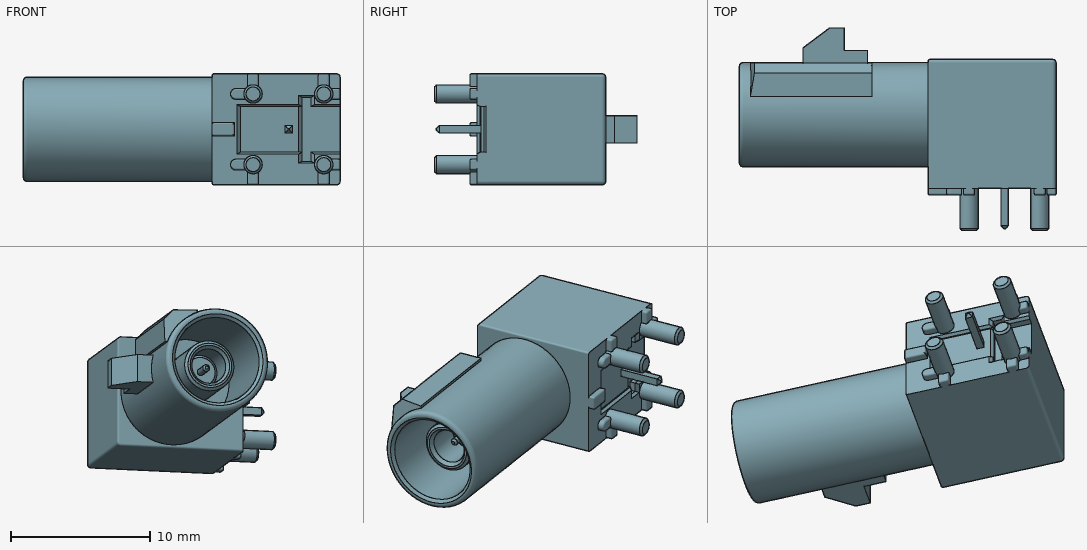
import cadquery as cq
import math


length = 22.8
block_start = 13.6
block_back = 4.0
board_face = -5.3
block_height = 8.0
front_edge_round = 0.14
outer_edge_round = 0.27

barrel_radius = 3.76
barrel_lip_round = 0.3
mouth_radius = 3.35
bore_radius = 3.12
mouth_chamfer_depth = 0.2
bore_depth = 9.12

boss_radius = 1.82
boss_front = 2.3
boss_outer_chamfer = 0.2
socket_radius = 1.25
socket_mouth_radius = 1.45
socket_mouth_depth = 0.32
socket_depth = 2.74
insulator_chamfer = 0.18
contact_radius = 0.25
contact_tip_radius = 0.11
contact_tip_length = 0.18
contact_length = 1.82

key_start = 0.8
key_end = 9.53
key_reach = 3.72
key_inner = 1.3
key_corner = 3.0
key_lead_in = 0.3

latch_width = 1.98
latch_root = 3.2
latch_start = 4.58
latch_top_start = 6.5
latch_top_end = 7.57
latch_end = 9.23
latch_top = 6.25
latch_ramp_foot = 4.8
latch_step = 4.63

overall_width = 14.6
post_end = latch_top - overall_width
post_radius = 0.65
post_chamfer = 0.15
post_pitch = 5.08
first_post_x = 16.53
post_columns = (first_post_x, first_post_x + post_pitch)
post_rows = (-post_pitch / 2, post_pitch / 2)

pad_height = 0.5
pad_width = 0.8
pad_round = 0.14
slot_pad_start = 14.9
front_pad_length = 1.62
front_pad_width = 0.98

pin_x = 19.08
pin_width = 0.55
pin_tip_width = 0.11
pin_shoulder = -7.98
pin_tip_length = 0.23

rim_x = 0.23
rim_z = 0.14
rim_depth = 0.23
shallow_depth = 0.3
deep_depth = 0.65
shallow_start = 15.4
channel_half_width = 1.78
cross_start = 19.81
cross_end = 20.93
cross_half_width = 2.45


def board_plane(x=0.0, z=0.0, y=board_face):
    """Sketch plane parallel to the board face; its normal points to -Y."""
    return cq.Workplane("XZ", origin=(x, y, z))


def make_block():
    block = cq.Workplane("XY").box(
        length - block_start, block_back - board_face, block_height, centered=(False, False, True)
    ).translate((block_start, board_face, 0))
    block = block.edges("(>X and (>Y or >Z or <Z)) or (>Y and (>Z or <Z))").fillet(outer_edge_round)
    return block.faces("<X").edges("not <Y").fillet(front_edge_round)


def make_barrel():
    return (
        cq.Workplane("YZ")
        .circle(barrel_radius)
        .extrude(block_start)
        .faces("<X")
        .edges()
        .fillet(barrel_lip_round)
    )


def make_bore():
    """Bore with a flared mouth, leaving the boss, insulator and contact standing in it."""
    socket_floor = boss_front + socket_depth
    contact_front = socket_floor - contact_length
    profile = [
        (0, 0),
        (0, mouth_radius),
        (mouth_chamfer_depth, bore_radius),
        (bore_depth, bore_radius),
        (bore_depth, boss_radius),
        (boss_front + boss_outer_chamfer, boss_radius),
        (boss_front, boss_radius - boss_outer_chamfer),
        (boss_front, socket_mouth_radius),
        (boss_front + socket_mouth_depth, socket_radius),
        (socket_floor + insulator_chamfer, socket_radius),
        (socket_floor, socket_radius - insulator_chamfer),
        (socket_floor, contact_radius),
        (contact_front + contact_tip_length, contact_radius),
        (contact_front, contact_tip_radius),
        (contact_front, 0),
    ]
    return cq.Workplane("XY").polyline(profile).close().revolve(360, (0, 0, 0), (1, 0, 0))


def make_key():
    section = [
        (0, key_inner),
        (0, 0),
        (key_inner, 0),
        (key_inner, key_reach),
        (key_corner, key_reach),
        (key_reach, key_corner),
        (key_reach, key_inner),
    ]
    key = (
        cq.Workplane("YZ", origin=(key_start, 0, 0))
        .polyline(section)
        .close()
        .extrude(key_end - key_start)
    )
    base_distance = (key_inner + key_reach) / math.sqrt(2)
    corner_distance = (key_corner + key_reach) / math.sqrt(2)
    lead_in = (
        cq.Workplane("XY")
        .moveTo(key_start, base_distance)
        .lineTo(key_start, corner_distance)
        .lineTo(key_start + key_lead_in, corner_distance)
        .close()
        .extrude(key_reach, both=True)
        .rotate((0, 0, 0), (1, 0, 0), 45)
    )
    return key.cut(lead_in)


def make_latch():
    profile = [
        (latch_start, latch_root),
        (latch_start, latch_ramp_foot),
        (latch_top_start, latch_top),
        (latch_top_end, latch_top),
        (latch_top_end, latch_step),
        (latch_end, latch_step),
        (latch_end, latch_root),
    ]
    return cq.Workplane("XY").polyline(profile).close().extrude(latch_width / 2, both=True)


def cross_outline(inset_x, inset_z):
    """T-shaped outline, open past the +X end of the block, shrunk by the given insets."""
    start = cross_start + inset_x
    end = cross_end - inset_x
    wide = cross_half_width - inset_z
    narrow = channel_half_width - inset_z
    open_end = length + rim_x
    upper = [(start, wide), (end, wide), (end, narrow), (open_end, narrow)]
    return upper + [(x, -z) for x, z in reversed(upper)]


def shallow_outline(inset_x, inset_z):
    start = shallow_start + inset_x
    end = cross_start + rim_x
    half = channel_half_width - inset_z
    return [(start, half), (end, half), (end, -half), (start, -half)]


def make_recess(outline, depth):
    """Pocket in the board face: a chamfered rim, then straight walls down to the floor."""
    rim = (
        board_plane()
        .polyline(outline(0, 0))
        .close()
        .workplane(offset=-rim_depth)
        .polyline(outline(rim_x, rim_z))
        .close()
        .loft(ruled=True)
    )
    well = board_plane().polyline(outline(rim_x, rim_z)).close().extrude(-depth)
    return rim.union(well)


def make_step_chamfer():
    """Chamfer where the shallow recess floor drops into the deep one."""
    floor = board_face + shallow_depth
    half_width = channel_half_width - rim_z
    return (
        cq.Workplane("XY")
        .moveTo(cross_start, floor)
        .lineTo(cross_start + rim_x, floor)
        .lineTo(cross_start + rim_x, floor + rim_depth)
        .close()
        .extrude(half_width, both=True)
    )


def make_post(x, z):
    return (
        board_plane(x, z, y=board_face + deep_depth)
        .circle(post_radius)
        .extrude(board_face + deep_depth - post_end)
        .faces("<Y")
        .edges()
        .chamfer(post_chamfer)
    )


def make_pad(x_start, x_end, z_start, z_end, round_corners="|Y"):
    return (
        board_plane((x_start + x_end) / 2, (z_start + z_end) / 2)
        .rect(x_end - x_start, abs(z_end - z_start))
        .extrude(pad_height)
        .edges(f"<Y or ({round_corners})")
        .fillet(pad_round)
    )


def make_slot_pad(x_start, x_end, z):
    return (
        board_plane((x_start + x_end) / 2, z)
        .slot2D(x_end - x_start, pad_width)
        .extrude(pad_height)
        .faces("<Y")
        .edges()
        .fillet(pad_round)
    )


def make_pin():
    root = board_face + deep_depth
    shaft = board_plane(pin_x, y=root).rect(pin_width, pin_width).extrude(root - pin_shoulder)
    tip = (
        board_plane(pin_x, y=pin_shoulder)
        .rect(pin_width, pin_width)
        .workplane(offset=pin_tip_length)
        .rect(pin_tip_width, pin_tip_width)
        .loft(ruled=True)
    )
    return shaft.union(tip)


body = make_block()
body = body.cut(make_recess(shallow_outline, shallow_depth))
body = body.cut(make_recess(cross_outline, deep_depth))
body = body.cut(make_step_chamfer())
body = body.union(make_barrel()).union(make_key()).union(make_latch())
body = body.cut(make_bore())

body = body.union(
    make_pad(
        block_start,
        block_start + front_pad_length,
        -front_pad_width / 2,
        front_pad_width / 2,
        round_corners="|Y and <X",
    )
)
for post_z in post_rows:
    block_side = math.copysign(block_height / 2, post_z)
    for post_x in post_columns:
        body = body.union(make_post(post_x, post_z))
        body = body.union(make_pad(post_x - pad_width / 2, post_x + pad_width / 2, post_z, block_side))
    body = body.union(make_slot_pad(slot_pad_start, post_columns[0] + pad_width / 2, post_z))
    body = body.union(
        make_pad(post_columns[1], length, post_z - pad_width / 2, post_z + pad_width / 2)
    )

result = body.union(make_pin())